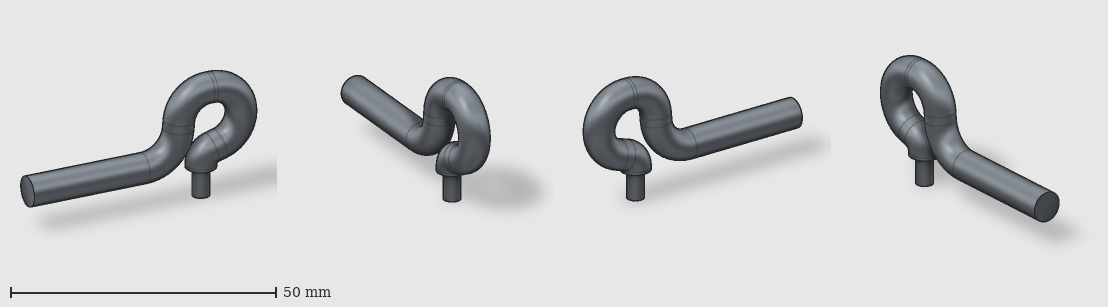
import cadquery as cq
import math

overall_length = 47.6
overall_height = 24.95
bar_diameter = 6.0
bar_axis_height = 7.95
straight_length = 24.15
pin_diameter = 3.4
pin_length = 5.9
pin_y = 36.2

elbow_radius = 7.35
loop_radius = 6.15
tail_radius = 3.05

loop_flat = 0.7
tail_straight = 0.55

bar_radius = bar_diameter / 2
elbow_centre = (straight_length, bar_axis_height + elbow_radius)
loop_centre_z = overall_height - bar_radius - loop_radius
far_loop_centre = (overall_length - bar_radius - loop_radius, loop_centre_z)
near_loop_centre = (far_loop_centre[0] - loop_flat, loop_centre_z)
tail_centre = (pin_y + tail_radius, pin_length + tail_straight)


def point_on(centre, radius, angle):
    """Point (Y, Z) on a circle, with the angle in radians from +Y."""
    return (centre[0] + radius * math.cos(angle), centre[1] + radius * math.sin(angle))


def crossing_tangent(centre, radius, loop_centre, side):
    """Angle on a bend circle where the line crossing over to the loop circle leaves it.

    The line touches the loop at the opposite angle. The side, +1 or -1, picks one of the two lines.
    """
    along_y = loop_centre[0] - centre[0]
    along_z = loop_centre[1] - centre[1]
    distance = math.hypot(along_y, along_z)
    return math.atan2(along_z, along_y) + side * math.acos((radius + loop_radius) / distance)


def hook_centreline():
    """Elbow, loop with a flat top, and tail bend, joined by tangent lines."""
    elbow_end = crossing_tangent(elbow_centre, elbow_radius, near_loop_centre, -1)
    loop_start = elbow_end + math.pi
    tail_start = crossing_tangent(tail_centre, tail_radius, far_loop_centre, 1)
    loop_end = tail_start - math.pi
    elbow_start = -math.pi / 2
    tail_end = math.pi
    loop_top = math.pi / 2
    return (
        cq.Workplane("YZ")
        .moveTo(straight_length, bar_axis_height)
        .threePointArc(
            point_on(elbow_centre, elbow_radius, (elbow_start + elbow_end) / 2),
            point_on(elbow_centre, elbow_radius, elbow_end),
        )
        .lineTo(*point_on(near_loop_centre, loop_radius, loop_start))
        .threePointArc(
            point_on(near_loop_centre, loop_radius, (loop_start + loop_top) / 2),
            point_on(near_loop_centre, loop_radius, loop_top),
        )
        .lineTo(*point_on(far_loop_centre, loop_radius, loop_top))
        .threePointArc(
            point_on(far_loop_centre, loop_radius, (loop_top + loop_end) / 2),
            point_on(far_loop_centre, loop_radius, loop_end),
        )
        .lineTo(*point_on(tail_centre, tail_radius, tail_start))
        .threePointArc(
            point_on(tail_centre, tail_radius, (tail_start + tail_end) / 2),
            point_on(tail_centre, tail_radius, tail_end),
        )
        .lineTo(pin_y, pin_length)
    )


def straight_bar():
    """Plain round bar along Y."""
    bar_end = cq.Workplane("XZ").center(0, bar_axis_height).circle(bar_radius)
    return bar_end.extrude(-straight_length)


def hook():
    """Bar bent round in a loop, ending on the flat shoulder above the pin."""
    section_origin = (0, straight_length, bar_axis_height)
    section = cq.Workplane("XZ", origin=section_origin).circle(bar_radius)
    return section.sweep(hook_centreline())


def pin():
    """Thin pin below the hook's shoulder, with its tip at Z = 0."""
    return cq.Workplane("XY").center(0, pin_y).circle(pin_diameter / 2).extrude(pin_length)


result = straight_bar().union(hook()).union(pin())